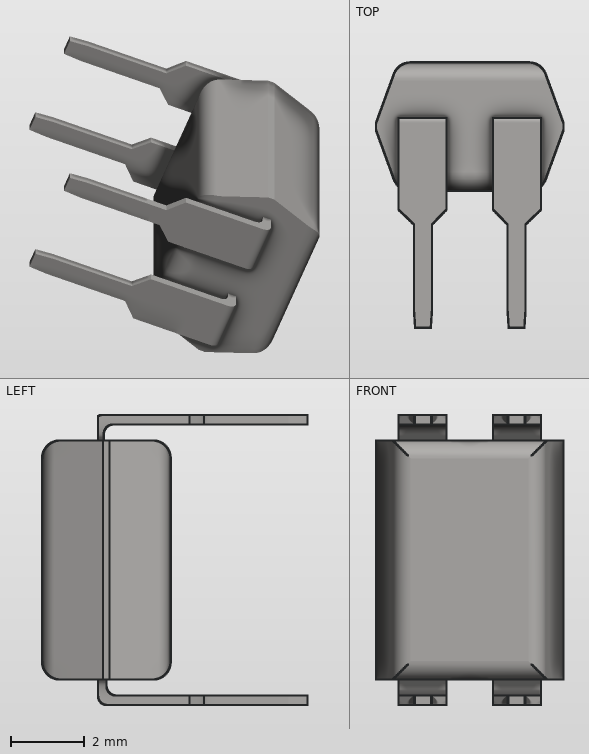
import cadquery as cq
import math

HOUSING_WIDTH = 5.1
HOUSING_DEPTH = 3.5
HOUSING_HEIGHT = 6.5
FLANK_DRAFT = 20.0
FLANK_FLAT = 0.18
FACE_FILLET = 0.5

OVERALL_DEPTH = 7.21
OVERALL_HEIGHT = 7.88
PIN_PITCH = 2.54
LEAD_THICKNESS = 0.265
WEB_BACK_Y = 0.23
WEB_TOP_THICKNESS = 0.16
WEB_BOTTOM_THICKNESS = 0.24
BEND_INNER_RADIUS = 0.25
BEND_OUTER_RADIUS = 0.25
BEND_TOP_LENGTH = 0.12

SHOULDER_WIDTH = 1.31
SHOULDER_OFFSET = 0.013
SHOULDER_REACH = 0.5
PIN_WIDTH = 0.5
TIP_WIDTH = 0.43
TIP_LENGTH = 0.51

HOUSING_BACK_Y = HOUSING_DEPTH / 2
HOUSING_FRONT_Y = -HOUSING_DEPTH / 2
TIP_Y = HOUSING_BACK_Y - OVERALL_DEPTH
LEAD_TOP_Z = OVERALL_HEIGHT / 2
ARM_INNER_Z = LEAD_TOP_Z - LEAD_THICKNESS


def make_housing():
    """Extrude the eight-sided section along Z and round its front and back faces."""
    ridge_x = HOUSING_WIDTH / 2
    ridge_y = FLANK_FLAT / 2
    flank_run = HOUSING_BACK_Y - ridge_y
    corner_x = ridge_x - flank_run * math.tan(math.radians(FLANK_DRAFT))
    section = [
        (corner_x, HOUSING_BACK_Y),
        (ridge_x, ridge_y),
        (ridge_x, -ridge_y),
        (corner_x, HOUSING_FRONT_Y),
        (-corner_x, HOUSING_FRONT_Y),
        (-ridge_x, -ridge_y),
        (-ridge_x, ridge_y),
        (-corner_x, HOUSING_BACK_Y),
    ]
    block = cq.Workplane("XY").polyline(section).close().extrude(HOUSING_HEIGHT / 2, both=True)
    return block.faces("<Y or >Y").edges().fillet(FACE_FILLET)


def make_bent_strip():
    """U-shaped strip, as wide as a lead's shoulder and centred on X = 0."""
    bend_start_y = WEB_BACK_Y - BEND_TOP_LENGTH
    bend_drop = BEND_OUTER_RADIUS - math.sqrt(BEND_OUTER_RADIUS**2 - BEND_TOP_LENGTH**2)
    profile = (
        cq.Workplane("YZ")
        .moveTo(TIP_Y, LEAD_TOP_Z)
        .lineTo(bend_start_y, LEAD_TOP_Z)
        .radiusArc((WEB_BACK_Y, LEAD_TOP_Z - bend_drop), BEND_OUTER_RADIUS)
        .lineTo(WEB_BACK_Y, -LEAD_TOP_Z)
        .lineTo(TIP_Y, -LEAD_TOP_Z)
        .lineTo(TIP_Y, -ARM_INNER_Z)
        .lineTo(WEB_BACK_Y - WEB_BOTTOM_THICKNESS, -ARM_INNER_Z)
        .lineTo(WEB_BACK_Y - WEB_TOP_THICKNESS, ARM_INNER_Z)
        .lineTo(TIP_Y, ARM_INNER_Z)
        .close()
    )
    strip = profile.extrude(SHOULDER_WIDTH / 2, both=True)
    mid_arm_z = LEAD_TOP_Z - LEAD_THICKNESS / 2
    inner_corners = cq.selectors.BoxSelector(
        (-SHOULDER_WIDTH, HOUSING_FRONT_Y, -mid_arm_z),
        (SHOULDER_WIDTH, HOUSING_BACK_Y, mid_arm_z),
    )
    strip = strip.edges("|X").edges(inner_corners).fillet(BEND_INNER_RADIUS)
    return strip.faces(">Y").edges("<Z").fillet(BEND_OUTER_RADIUS)


def make_arm_outline(pin_x):
    """Plate covering a lead seen along Z: broad shoulder, 45 degree taper, narrow pin, tapered tip."""
    half_shoulder = SHOULDER_WIDTH / 2
    half_pin = PIN_WIDTH / 2
    half_tip = TIP_WIDTH / 2
    shoulder_y = HOUSING_FRONT_Y - SHOULDER_REACH
    pin_y = shoulder_y - (SHOULDER_WIDTH - PIN_WIDTH) / 2
    outline = [
        (-half_shoulder, WEB_BACK_Y),
        (-half_shoulder, shoulder_y),
        (pin_x - half_pin, pin_y),
        (pin_x - half_pin, TIP_Y + TIP_LENGTH),
        (pin_x - half_tip, TIP_Y),
        (pin_x + half_tip, TIP_Y),
        (pin_x + half_pin, TIP_Y + TIP_LENGTH),
        (pin_x + half_pin, pin_y),
        (half_shoulder, shoulder_y),
        (half_shoulder, WEB_BACK_Y),
    ]
    return cq.Workplane("XY").polyline(outline).close().extrude(OVERALL_HEIGHT, both=True)


def make_lead(side):
    """Lead on the left (side = -1) or right (side = 1) of the centre plane."""
    lead = make_bent_strip().intersect(make_arm_outline(-side * SHOULDER_OFFSET))
    return lead.translate((side * (PIN_PITCH / 2 + SHOULDER_OFFSET), 0, 0))


leads = [make_lead(side) for side in (-1, 1)]

housing = make_housing()
for lead in leads:
    housing = housing.cut(lead)

result = cq.Compound.makeCompound([housing.val(), *[lead.val() for lead in leads]])